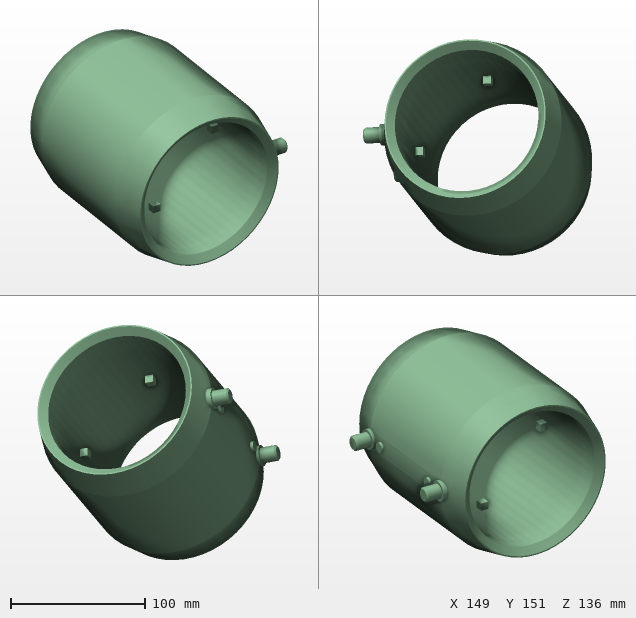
import cadquery as cq

sleeve_length = 149.0
sleeve_radius = 136.0 / 2
end_radius = 61.8
taper_length = 24.9
bore_radius = 110.0 / 2
mouth_radius = 60.7
mouth_depth = 5.0

side_width = 151.0
terminal_tip_y = side_width - sleeve_radius
terminal_radius = 12.0 / 2
terminal_chamfer = 1.2
collar_radius = 16.0 / 2
collar_top_y = 70.2
button_radius = 8.0 / 2
button_x = 33.7

stop_size = 6.3
stop_inner_radius = 48.9
stop_count = 4

half_length = sleeve_length / 2
terminal_x = half_length - taper_length
wall_middle_radius = (bore_radius + sleeve_radius) / 2


def make_sleeve():
    """Tube with tapered outer ends and flared bore mouths."""
    profile = [
        (-half_length, mouth_radius),
        (-half_length, end_radius),
        (-terminal_x, sleeve_radius),
        (terminal_x, sleeve_radius),
        (half_length, end_radius),
        (half_length, mouth_radius),
        (half_length - mouth_depth, bore_radius),
        (-half_length + mouth_depth, bore_radius),
    ]
    return cq.Workplane("XY").polyline(profile).close().revolve(360, (0, 0, 0), (1, 0, 0))


def radial_cylinder(x, radius, top_y):
    """Cylinder along Y, rooted inside the sleeve wall."""
    root = cq.Workplane("XZ", origin=(x, wall_middle_radius, 0))
    return root.circle(radius).extrude(wall_middle_radius - top_y)


def make_terminal(x):
    """Chamfered contact pin standing on a wider collar."""
    pin = radial_cylinder(x, terminal_radius, terminal_tip_y)
    pin = pin.faces(">Y").chamfer(terminal_chamfer)
    return radial_cylinder(x, collar_radius, collar_top_y).union(pin)


def make_stop(angle):
    """Small square block reaching from the wall into the bore."""
    height = wall_middle_radius - stop_inner_radius
    block = cq.Workplane("XY").box(stop_size, stop_size, height, centered=(True, True, False))
    return block.translate((0, 0, stop_inner_radius)).rotate((0, 0, 0), (1, 0, 0), angle)


result = make_sleeve()
for side in (-1, 1):
    result = result.union(make_terminal(side * terminal_x))
    result = result.union(radial_cylinder(side * button_x, button_radius, collar_top_y))
for index in range(stop_count):
    result = result.union(make_stop(index * 360 / stop_count))